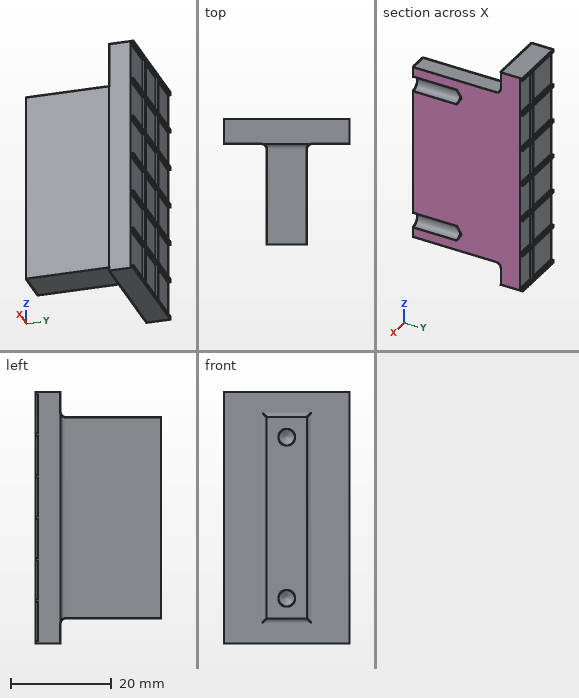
import cadquery as cq
import math

plate_width = 25.0
plate_height = 50.0
plate_thickness = 5.0
total_depth = 25.0

stem_width = 8.0
stem_height = 40.0
root_fillet = 1.0

hole_diameter = 3.3
hole_depth = 10.0
hole_spacing = 32.0
drill_point_angle = 118.0

pocket_rows = 6
pocket_columns = 3
rib_thickness = 0.5
pocket_depth = 0.5

back_y = total_depth / 2
stem_end_y = -total_depth / 2
plate_front_y = back_y - plate_thickness
pocket_height = (plate_height - (pocket_rows + 1) * rib_thickness) / pocket_rows
pocket_width = (plate_width - (pocket_columns - 1) * rib_thickness) / pocket_columns


def make_body():
    """Plate and stem joined by a fillet around the root of the stem."""
    plate = cq.Workplane("XY").box(plate_width, plate_thickness, plate_height)
    plate = plate.translate((0, back_y - plate_thickness / 2, 0))
    stem_length = plate_front_y - stem_end_y
    stem = cq.Workplane("XY").box(stem_width, stem_length, stem_height)
    stem = stem.translate((0, stem_end_y + stem_length / 2, 0))
    root_edges = cq.selectors.BoxSelector(
        (-stem_width, plate_front_y - root_fillet / 2, -stem_height / 2 - root_fillet),
        (stem_width, plate_front_y + root_fillet / 2, stem_height / 2 + root_fillet),
    )
    return plate.union(stem).edges(root_edges).fillet(root_fillet)


def make_pockets():
    """Cutters for the rectangular pockets between the ribs."""
    return (
        cq.Workplane("XZ", origin=(0, back_y, 0))
        .rarray(
            pocket_width + rib_thickness,
            pocket_height + rib_thickness,
            pocket_columns,
            pocket_rows,
        )
        .rect(pocket_width, pocket_height)
        .extrude(pocket_depth)
    )


def make_drilled_hole(z):
    """Cutter for one hole along +Y with a conical drill point."""
    radius = hole_diameter / 2
    point_length = radius / math.tan(math.radians(drill_point_angle / 2))
    return (
        cq.Workplane("XY", origin=(0, stem_end_y, z))
        .lineTo(radius, 0)
        .lineTo(radius, hole_depth)
        .lineTo(0, hole_depth + point_length)
        .close()
        .revolve(360, (0, 0), (0, 1))
    )


result = make_body().cut(make_pockets())
for hole_z in (-hole_spacing / 2, hole_spacing / 2):
    result = result.cut(make_drilled_hole(hole_z))